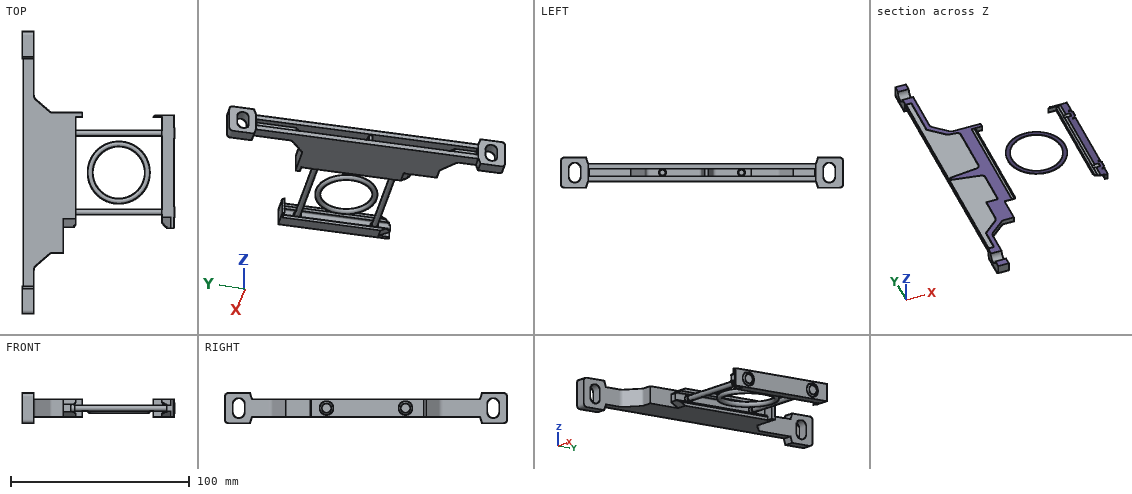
import cadquery as cq
import math

HEIGHT = 10.0
HALF_HEIGHT = HEIGHT / 2

TAB_HALF_SPAN = 79.0
TAB_TOP_WIDTH = 14.1
TAB_ROOT_WIDTH = 15.3
TAB_HEIGHT = 17.0
TAB_FILLET = 2.0
SLOT_CENTER = 71.2
SLOT_WIDTH = 6.6
SLOT_LENGTH = 11.0
ARM_BACK = 0.5
ARM_FRONT = 6.6
BODY_FRONT = 30.0
BODY_UPPER_Y = 33.7
BODY_LOWER_Y = -45.0
RAMP_TOP_X = 16.0
RAMP_RISE = 8.1
RAMP_ROOT_RADIUS = 3.0
RAMP_TOP_RADIUS = 2.0
NOTCH_X = 23.0
HOOK_INNER_Y = 31.1
HOOK_FRONT = 33.7
HOOK_CORNER_RADIUS = 0.5
BRACKET_NOSE_ROOT_Y = -25.9
BRACKET_NOSE_TIP_Y = -30.7
BRACKET_NOSE_TIP_HEIGHT = 4.3
BRACKET_NOSE_RADIUS = 1.8

POCKET_HEIGHT = 4.2
POCKET_ARM_FLOOR = 3.6
POCKET_RAMP_FLOOR = 13.0
POCKET_DEEP_FLOOR = 20.0
POCKET_HALF_SPAN = 63.2
POCKET_RAMP_UPPER_Y = 40.0
POCKET_RAMP_LOWER_Y = -51.0
POCKET_RAMP_RISE = 8.2
POCKET_DEEP_UPPER_Y = 31.0
POCKET_DEEP_LOWER_Y = -27.5
POCKET_RADIUS = 2.0
POCKET_RAMP_RADIUS = 3.0
POCKET_STEP_RADIUS = 0.5
RIB_BACK = 1.5
RIB_BACK_UPPER_Y = -1.5
RIB_BACK_LOWER_Y = -3.4
RIB_ROOT_UPPER_Y = 0.5
RIB_ROOT_LOWER_Y = -6.5

GROOVE_DEPTH = 2.9
GROOVE_WIDTH = 4.2
GROOVE_MOUTH_WIDTH = 6.4
GROOVE_FLARE_DEPTH = 1.1
GROOVE_FLOOR_RADIUS = 0.6

BAR_BACK = 78.1
BAR_FRONT = 85.0
BAR_UPPER_Y = 32.2
BAR_LIP_TIP_X = 73.3
BAR_LIP_BEVEL = 1.4
BAR_NOSE_ROOT_Y = -24.9
BAR_NOSE_TIP_Y = -31.2
BAR_NOSE_TIP_HEIGHT = 3.4
BAR_NOSE_FRONT = 83.0
BAR_NOSE_BEVEL_X = 2.8
BAR_NOSE_BEVEL_Y = 3.2
BAR_CORNER_BEVEL = 0.5

SCREW_Y = 22.1
SHANK_DIAMETER = 3.24
THREAD_DIAMETER = 4.0
THREAD_TIP_DIAMETER = 3.24
THREAD_START_X = 29.5
CLEARANCE_DIAMETER = 4.6
HEAD_DIAMETER = 7.6
COUNTERBORE_DIAMETER = 7.8
HEAD_HEIGHT = 2.2
HEAD_PROTRUSION = 0.4
HEAD_FACE_DIAMETER = 6.4
HEAD_TOP_DIAMETER = 5.2

RING_CENTER_X = (BODY_FRONT + BAR_BACK) / 2
RING_SECTION_DIAMETER = 3.0
RING_OUTER_DIAMETER = 35.0
RING_Z = -1.4

GROOVE_OVERRUN = 5.0


def rounded_outline(corners, plane="XY"):
    """Closed wire through (u, v, radius) corners, each rounded by an arc of its radius."""
    wire = cq.Workplane(plane)
    count = len(corners)
    for index in range(count):
        u, v, radius = corners[index]
        corner = cq.Vector(u, v)
        before = (cq.Vector(*corners[index - 1][:2]) - corner).normalized()
        after = (cq.Vector(*corners[(index + 1) % count][:2]) - corner).normalized()
        half_angle = before.getAngle(after) / 2
        setback = radius / math.tan(half_angle)
        start = corner + before * setback
        wire = wire.moveTo(start.x, start.y) if index == 0 else wire.lineTo(start.x, start.y)
        if radius > 0:
            bisector = (before + after).normalized()
            middle = corner + bisector * (radius / math.sin(half_angle) - radius)
            end = corner + after * setback
            wire = wire.threePointArc((middle.x, middle.y), (end.x, end.y))
    return wire.close()


def groove_cutter(face_x, inward, lower_y, upper_y):
    """Flared groove along Y, sunk from the face at face_x; inward is the X sign of its depth."""
    half = GROOVE_WIDTH / 2
    mouth = GROOVE_MOUTH_WIDTH / 2
    flare_x = face_x + inward * GROOVE_FLARE_DEPTH
    floor_x = face_x + inward * GROOVE_DEPTH
    corners = [
        (face_x, -mouth, 0),
        (flare_x, -half, 0),
        (floor_x, -half, GROOVE_FLOOR_RADIUS),
        (floor_x, half, GROOVE_FLOOR_RADIUS),
        (flare_x, half, 0),
        (face_x, mouth, 0),
    ]
    section = rounded_outline(corners, "XZ")
    return section.extrude(upper_y - lower_y).translate((0, upper_y, 0))


def nose_cutters(back_x, front_x, root_y, tip_y, tip_height):
    """Two wedges that taper a nose from full height at root_y to tip_height at tip_y."""
    upper = (
        cq.Workplane("YZ", origin=(back_x, 0, 0))
        .polyline([(root_y, HALF_HEIGHT), (tip_y, tip_height / 2), (tip_y, HALF_HEIGHT)])
        .close()
        .extrude(front_x - back_x)
    )
    return upper.union(upper.mirror("XY"))


def x_cylinder(diameter, start_x, end_x, y):
    return cq.Workplane("YZ", origin=(start_x, y, 0)).circle(diameter / 2).extrude(end_x - start_x)


def bracket_plate():
    arm_end = TAB_HALF_SPAN - TAB_TOP_WIDTH
    corners = [
        (ARM_BACK, -arm_end, 0),
        (ARM_FRONT, -arm_end, 0),
        (ARM_FRONT, BODY_LOWER_Y - RAMP_RISE, RAMP_ROOT_RADIUS),
        (RAMP_TOP_X, BODY_LOWER_Y, RAMP_TOP_RADIUS),
        (NOTCH_X, BODY_LOWER_Y, 0),
        (NOTCH_X, BRACKET_NOSE_TIP_Y, 0),
        (BODY_FRONT, BRACKET_NOSE_TIP_Y, BRACKET_NOSE_RADIUS),
        (BODY_FRONT, HOOK_INNER_Y, 0),
        (HOOK_FRONT, HOOK_INNER_Y, 0),
        (HOOK_FRONT, BODY_UPPER_Y, HOOK_CORNER_RADIUS),
        (RAMP_TOP_X, BODY_UPPER_Y, RAMP_TOP_RADIUS),
        (ARM_FRONT, BODY_UPPER_Y + RAMP_RISE, RAMP_ROOT_RADIUS),
        (ARM_FRONT, arm_end, 0),
        (ARM_BACK, arm_end, 0),
    ]
    return rounded_outline(corners).extrude(HEIGHT).translate((0, 0, -HALF_HEIGHT))


def end_tab(side):
    """Slotted mounting tab at the +Y (side = 1) or -Y (side = -1) end."""
    half = TAB_HEIGHT / 2
    outer_y = side * TAB_HALF_SPAN
    top_y = side * (TAB_HALF_SPAN - TAB_TOP_WIDTH)
    root_y = side * (TAB_HALF_SPAN - TAB_ROOT_WIDTH)
    corners = [
        (outer_y, -half, TAB_FILLET),
        (outer_y, half, TAB_FILLET),
        (top_y, half, 0),
        (root_y, HALF_HEIGHT, 0),
        (root_y, -HALF_HEIGHT, 0),
        (top_y, -half, 0),
    ]
    tab = rounded_outline(corners, "YZ").extrude(ARM_FRONT)
    slot = (
        cq.Workplane("YZ")
        .center(side * SLOT_CENTER, 0)
        .slot2D(SLOT_LENGTH, SLOT_WIDTH, 90)
        .extrude(ARM_FRONT)
    )
    return tab, slot


def back_pocket():
    corners = [
        (ARM_BACK, -POCKET_HALF_SPAN, 0),
        (POCKET_ARM_FLOOR, -POCKET_HALF_SPAN, 0),
        (POCKET_ARM_FLOOR, POCKET_RAMP_LOWER_Y, 0),
        (POCKET_RAMP_FLOOR, POCKET_RAMP_LOWER_Y + POCKET_RAMP_RISE, POCKET_RAMP_RADIUS),
        (POCKET_RAMP_FLOOR, POCKET_DEEP_LOWER_Y, POCKET_STEP_RADIUS),
        (POCKET_DEEP_FLOOR, POCKET_DEEP_LOWER_Y, POCKET_STEP_RADIUS),
        (POCKET_DEEP_FLOOR, RIB_ROOT_LOWER_Y, POCKET_RADIUS),
        (RIB_BACK, RIB_BACK_LOWER_Y, 0),
        (RIB_BACK, RIB_BACK_UPPER_Y, 0),
        (POCKET_DEEP_FLOOR, RIB_ROOT_UPPER_Y, POCKET_RADIUS),
        (POCKET_DEEP_FLOOR, POCKET_DEEP_UPPER_Y, POCKET_RADIUS),
        (POCKET_RAMP_FLOOR, POCKET_RAMP_UPPER_Y - POCKET_RAMP_RISE, POCKET_RAMP_RADIUS),
        (POCKET_ARM_FLOOR, POCKET_RAMP_UPPER_Y, 0),
        (POCKET_ARM_FLOOR, POCKET_HALF_SPAN, 0),
        (ARM_BACK, POCKET_HALF_SPAN, 0),
    ]
    return rounded_outline(corners).extrude(POCKET_HEIGHT).translate((0, 0, -POCKET_HEIGHT / 2))


def make_bracket():
    bracket = bracket_plate()
    for side in (1, -1):
        tab, slot = end_tab(side)
        bracket = bracket.union(tab).cut(slot)
    bracket = bracket.cut(back_pocket())
    bracket = bracket.cut(
        nose_cutters(
            NOTCH_X, BODY_FRONT, BRACKET_NOSE_ROOT_Y, BRACKET_NOSE_TIP_Y, BRACKET_NOSE_TIP_HEIGHT
        )
    )
    groove_end = BRACKET_NOSE_TIP_Y - GROOVE_OVERRUN
    bracket = bracket.cut(groove_cutter(BODY_FRONT, -1, groove_end, HOOK_INNER_Y))
    for y in (SCREW_Y, -SCREW_Y):
        bracket = bracket.cut(x_cylinder(THREAD_DIAMETER, POCKET_DEEP_FLOOR, BODY_FRONT, y))
    return bracket


def bar_blank():
    corners = [
        (BAR_FRONT, BAR_UPPER_Y),
        (BAR_LIP_TIP_X + BAR_LIP_BEVEL, BAR_UPPER_Y),
        (BAR_LIP_TIP_X, HOOK_INNER_Y),
        (BAR_BACK, HOOK_INNER_Y),
        (BAR_BACK, BAR_NOSE_TIP_Y + BAR_NOSE_BEVEL_Y),
        (BAR_BACK + BAR_NOSE_BEVEL_X, BAR_NOSE_TIP_Y),
        (BAR_FRONT - BAR_CORNER_BEVEL, BAR_NOSE_TIP_Y),
        (BAR_FRONT, BAR_NOSE_TIP_Y + BAR_CORNER_BEVEL),
    ]
    return cq.Workplane("XY").polyline(corners).close().extrude(HEIGHT).translate((0, 0, -HALF_HEIGHT))


def screw(y):
    """Button-head screw along X: chamfered thread tip, plain shank and domed head."""
    tip_x = POCKET_DEEP_FLOOR
    chamfer = (THREAD_DIAMETER - THREAD_TIP_DIAMETER) / 2
    top_x = BAR_FRONT + HEAD_PROTRUSION
    seat_x = top_x - HEAD_HEIGHT
    profile = (
        cq.Workplane("XY")
        .moveTo(tip_x, 0)
        .lineTo(tip_x, THREAD_TIP_DIAMETER / 2)
        .lineTo(tip_x + chamfer, THREAD_DIAMETER / 2)
        .lineTo(THREAD_START_X, THREAD_DIAMETER / 2)
        .lineTo(THREAD_START_X, SHANK_DIAMETER / 2)
        .lineTo(seat_x, SHANK_DIAMETER / 2)
        .lineTo(seat_x, HEAD_DIAMETER / 2)
        .threePointArc((BAR_FRONT, HEAD_FACE_DIAMETER / 2), (top_x, HEAD_TOP_DIAMETER / 2))
        .lineTo(top_x, 0)
        .close()
    )
    return profile.revolve(360, (0, 0, 0), (1, 0, 0)).translate((0, y, 0))


def make_clamp_bar():
    bar = bar_blank()
    bar = bar.cut(
        nose_cutters(BAR_BACK, BAR_NOSE_FRONT, BAR_NOSE_ROOT_Y, BAR_NOSE_TIP_Y, BAR_NOSE_TIP_HEIGHT)
    )
    bar = bar.cut(groove_cutter(BAR_BACK, 1, BAR_NOSE_TIP_Y - GROOVE_OVERRUN, HOOK_INNER_Y))
    seat_x = BAR_FRONT + HEAD_PROTRUSION - HEAD_HEIGHT
    for y in (SCREW_Y, -SCREW_Y):
        bar = bar.cut(x_cylinder(CLEARANCE_DIAMETER, BAR_BACK, BAR_FRONT, y))
        bar = bar.cut(x_cylinder(COUNTERBORE_DIAMETER, seat_x, BAR_FRONT, y))
        bar = bar.union(screw(y))
    return bar


def make_ring():
    section_radius = RING_SECTION_DIAMETER / 2
    mean_radius = RING_OUTER_DIAMETER / 2 - section_radius
    ring = cq.Solid.makeTorus(mean_radius, section_radius)
    return cq.Workplane("XY").add(ring).translate((RING_CENTER_X, 0, RING_Z))


bracket = make_bracket()
clamp_bar = make_clamp_bar()
o_ring = make_ring()

result = cq.Compound.makeCompound([bracket.solids().val(), clamp_bar.solids().val(), o_ring.val()])